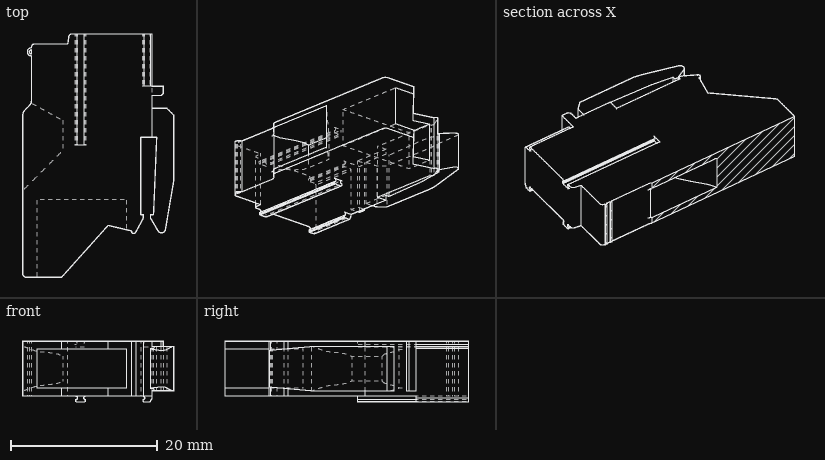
import cadquery as cq

LENGTH = 33.18
BODY_HEIGHT = 7.5
MID_HEIGHT = BODY_HEIGHT / 2
BODY_RIGHT = 17.65

SETBACK = 1.2
SHOULDER_TOP = 23.7
SHOULDER_RADIUS = 1.05
REAR_STEP_Y = 31.82
REAR_STEP_X = 6.15
REAR_STEP_LEAN = 0.2
REAR_CORNER_RADIUS = 0.43

NOSE_WIDTH = 5.3
NOSE_RADIUS = 0.53
NOTCH = (11.65, 7.07)
HOOK_TIP = (15.43, 6.17)
HOOK_BEAD = (15.13, 6.27)
HOOK_BEAD_RADIUS = 0.3
BARB_DEPTH = 0.33
BARB_FRONT_Y = 8.05
BARB_REAR_Y = 8.55
SLOT_LEFT = 16.13
SLOT_REAR_Y = 19.08

ARM_RIGHT = 20.6
ARM_HEIGHT = 6.07
ARM_BOTTOM = MID_HEIGHT - ARM_HEIGHT / 2
ARM_REAR_Y = 23.05
ARM_CHAMFER = 0.95
ARM_BEND_Y = 13.17
ARM_INNER_REAR_X = 18.25
ARM_INNER_FRONT_X = 17.82
ARM_BARB_X = 17.42
ARM_APEX = (19.2, 5.0)
ARM_TIP_RADIUS = 0.55
TAPER_START_Y = 12.08
TAPER_DROP = 0.63

TAB_REACH = 1.53
TAB_REAR_Y = 26.05
TAB_FRONT_Y = 24.75
TAB_CHAMFER = 0.3

BEAD_Y = 30.72
BEAD_RADIUS = 0.55
BEAD_BORE_RADIUS = 0.25

RAIL_DEPTH = 0.8
NECK_RADIUS = 0.23
FOOT_BEVEL = 0.1
GROOVE_LEFT = 7.17
GROOVE_RIGHT = 8.63
RAIL_CLEARANCE = 0.05
RAIL_FRONT_Y = 18.05
EDGE_GROOVE_LEFT = 16.32
EDGE_RAIL_STRAIGHT = 0.25
EDGE_RAIL_BEVEL = 0.3
EDGE_GROOVE_CHAMFER = 0.2

CAVITY_LEFT = 1.95
CAVITY_RIGHT = 14.17
CAVITY_HEIGHT = 5.3
CAVITY_REAR_Y = 10.62

POCKET_SECTIONS = ((0.0, 3.05), (1.92, 2.35), (3.8, 2.15), (4.9, 1.95), (5.47, 1.65))
POCKET_FRONT_Y = 11.8
POCKET_REAR_Y = 24.4
POCKET_FRONT_SLOPE = 1.0
POCKET_REAR_SLOPE = 0.55

RELIEF_REAR_Y = 24.2
RELIEF_HALF_HEIGHT = 2.62

OVERCUT = 0.33


def prism(points, bottom, height):
    """Vertical prism over a closed outline in the XY plane."""
    return cq.Workplane("XY").workplane(offset=bottom).polyline(points).close().extrude(height)


def box(left, right, front, rear, bottom, top):
    """Axis-aligned block given by its limits along X, Y and Z."""
    block = cq.Workplane("XY", origin=(left, front, bottom))
    return block.box(right - left, rear - front, top - bottom, centered=False)


def round_corner(solid, corner, radius):
    """Round the vertical edge nearest to a corner of the outline."""
    nearest = cq.selectors.NearestToPointSelector((corner[0], corner[1], MID_HEIGHT))
    return solid.edges("|Z").edges(nearest).fillet(radius)


def housing():
    nose_corner = (0, 0)
    shoulder_low = (0, SHOULDER_TOP - SETBACK)
    shoulder_high = (SETBACK, SHOULDER_TOP)
    rear_left = (SETBACK, REAR_STEP_Y)
    step_top = (REAR_STEP_X + REAR_STEP_LEAN, LENGTH)
    outline = [
        nose_corner,
        (NOSE_WIDTH, 0),
        NOTCH,
        HOOK_TIP,
        (SLOT_LEFT + BARB_DEPTH, BARB_FRONT_Y),
        (SLOT_LEFT + BARB_DEPTH, BARB_REAR_Y),
        (SLOT_LEFT, BARB_REAR_Y),
        (SLOT_LEFT, SLOT_REAR_Y),
        (BODY_RIGHT, SLOT_REAR_Y),
        (BODY_RIGHT, LENGTH),
        step_top,
        (REAR_STEP_X, REAR_STEP_Y),
        rear_left,
        shoulder_high,
        shoulder_low,
    ]
    solid = prism(outline, 0, BODY_HEIGHT)
    rounds = (
        (nose_corner, NOSE_RADIUS),
        (step_top, REAR_CORNER_RADIUS),
        (rear_left, REAR_CORNER_RADIUS),
        (shoulder_high, SHOULDER_RADIUS),
        (shoulder_low, SHOULDER_RADIUS),
    )
    for corner, radius in rounds:
        solid = round_corner(solid, corner, radius)
    hook_bead = cq.Workplane("XY").center(*HOOK_BEAD).circle(HOOK_BEAD_RADIUS).extrude(BODY_HEIGHT)
    return solid.union(hook_bead)


def latch_arm():
    outline = [
        (BODY_RIGHT, ARM_REAR_Y),
        (ARM_RIGHT - ARM_CHAMFER, ARM_REAR_Y),
        (ARM_RIGHT, ARM_REAR_Y - ARM_CHAMFER),
        (ARM_RIGHT, ARM_BEND_Y),
        ARM_APEX,
        (ARM_BARB_X, BARB_FRONT_Y),
        (ARM_BARB_X, BARB_REAR_Y),
        (ARM_INNER_FRONT_X, BARB_REAR_Y),
        (ARM_INNER_REAR_X, SLOT_REAR_Y),
        (BODY_RIGHT, SLOT_REAR_Y),
    ]
    arm = prism(outline, ARM_BOTTOM, ARM_HEIGHT)
    arm = round_corner(arm, ARM_APEX, ARM_TIP_RADIUS)

    half = ARM_HEIGHT / 2
    apex_y = ARM_APEX[1]
    apex_half = half - TAPER_DROP
    side = [
        (apex_y, MID_HEIGHT - apex_half),
        (TAPER_START_Y, MID_HEIGHT - half),
        (ARM_REAR_Y, MID_HEIGHT - half),
        (ARM_REAR_Y, MID_HEIGHT + half),
        (TAPER_START_Y, MID_HEIGHT + half),
        (apex_y, MID_HEIGHT + apex_half),
    ]
    return arm.intersect(cq.Workplane("YZ").polyline(side).close().extrude(ARM_RIGHT))


def stop_tab():
    tab_right = BODY_RIGHT + TAB_REACH
    outline = [
        (BODY_RIGHT, TAB_FRONT_Y),
        (tab_right - TAB_CHAMFER, TAB_FRONT_Y),
        (tab_right, TAB_FRONT_Y + TAB_CHAMFER),
        (tab_right, TAB_REAR_Y),
        (BODY_RIGHT, TAB_REAR_Y),
    ]
    return prism(outline, ARM_BOTTOM, BODY_HEIGHT - ARM_BOTTOM)


def hinge_bead():
    bead = cq.Workplane("XY").center(SETBACK, BEAD_Y).circle(BEAD_RADIUS).circle(BEAD_BORE_RADIUS)
    outside = box(0, SETBACK, 0, LENGTH, 0, BODY_HEIGHT)
    return bead.extrude(BODY_HEIGHT).intersect(outside)


def inner_bar(surface_z, clearance):
    """Inner rail or groove, with a half-round neck on both sides just below the surface."""
    left = GROOVE_LEFT + clearance
    right = GROOVE_RIGHT - clearance
    bottom_z = surface_z - RAIL_DEPTH
    neck_z = surface_z - NECK_RADIUS
    foot_z = neck_z - NECK_RADIUS
    section = (
        cq.Workplane("XZ", origin=(0, LENGTH, 0))
        .moveTo(left, surface_z)
        .threePointArc((left + NECK_RADIUS, neck_z), (left, foot_z))
        .lineTo(left, bottom_z + FOOT_BEVEL)
        .lineTo(left + FOOT_BEVEL, bottom_z)
        .lineTo(right - FOOT_BEVEL, bottom_z)
        .lineTo(right, bottom_z + FOOT_BEVEL)
        .lineTo(right, foot_z)
        .threePointArc((right - NECK_RADIUS, neck_z), (right, surface_z))
        .close()
    )
    return section.extrude(LENGTH - RAIL_FRONT_Y)


def edge_bar(surface_z, clearance, right_side):
    """Rail or groove at the right edge: half-round neck on the left, plain corners on the right."""
    left = EDGE_GROOVE_LEFT + clearance
    bottom_z = surface_z - RAIL_DEPTH
    neck_z = surface_z - NECK_RADIUS
    foot_z = neck_z - NECK_RADIUS
    section = (
        cq.Workplane("XZ", origin=(0, LENGTH, 0))
        .moveTo(left, surface_z)
        .threePointArc((left + NECK_RADIUS, neck_z), (left, foot_z))
        .lineTo(left, bottom_z + FOOT_BEVEL)
        .lineTo(left + FOOT_BEVEL, bottom_z)
    )
    for x, z in right_side:
        section = section.lineTo(x, z)
    return section.close().extrude(LENGTH - TAB_REAR_Y)


def rails():
    right_side = [
        (BODY_RIGHT - EDGE_RAIL_BEVEL, -RAIL_DEPTH),
        (BODY_RIGHT, -EDGE_RAIL_STRAIGHT),
        (BODY_RIGHT, 0),
    ]
    return inner_bar(0, RAIL_CLEARANCE).union(edge_bar(0, RAIL_CLEARANCE, right_side))


def grooves():
    floor_z = BODY_HEIGHT - RAIL_DEPTH
    right_side = [
        (BODY_RIGHT - EDGE_GROOVE_CHAMFER, floor_z),
        (BODY_RIGHT, floor_z - EDGE_GROOVE_CHAMFER),
        (BODY_RIGHT, BODY_HEIGHT),
    ]
    return inner_bar(BODY_HEIGHT, 0).union(edge_bar(BODY_HEIGHT, 0, right_side))


def front_cavity():
    return box(
        CAVITY_LEFT,
        CAVITY_RIGHT,
        -OVERCUT,
        CAVITY_REAR_Y,
        MID_HEIGHT - CAVITY_HEIGHT / 2,
        MID_HEIGHT + CAVITY_HEIGHT / 2,
    )


def side_pocket():
    """Funnel in the left face, narrowing in straight stages to a flat floor."""
    pocket = None
    for (depth, half), (next_depth, next_half) in zip(POCKET_SECTIONS, POCKET_SECTIONS[1:]):
        stage = cq.Workplane("YZ", origin=(depth, 0, 0))
        for offset, half_height in ((0, half), (next_depth - depth, next_half)):
            front = POCKET_FRONT_Y + POCKET_FRONT_SLOPE * (depth + offset)
            rear = POCKET_REAR_Y - POCKET_REAR_SLOPE * (depth + offset)
            corners = [
                (front, MID_HEIGHT - half_height),
                (rear, MID_HEIGHT - half_height),
                (rear, MID_HEIGHT + half_height),
                (front, MID_HEIGHT + half_height),
            ]
            stage = stage.workplane(offset=offset).polyline(corners).close()
        stage = stage.loft(ruled=True)
        pocket = stage if pocket is None else pocket.union(stage)
    relief = box(
        0,
        SETBACK,
        SHOULDER_TOP,
        RELIEF_REAR_Y,
        MID_HEIGHT - RELIEF_HALF_HEIGHT,
        MID_HEIGHT + RELIEF_HALF_HEIGHT,
    )
    return pocket.union(relief)


result = (
    housing()
    .cut(grooves())
    .cut(front_cavity())
    .cut(side_pocket())
    .union(latch_arm())
    .union(stop_tab())
    .union(hinge_bead())
    .union(rails())
)